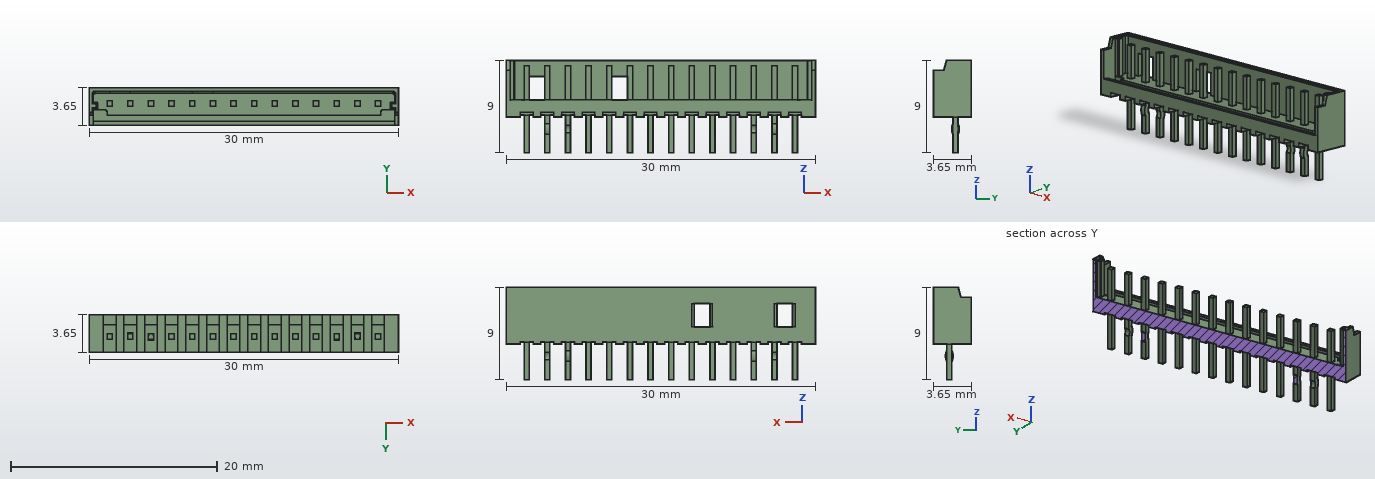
import cadquery as cq
import math


length = 30.0
width = 3.65
height = 5.52
back_y = 1.53
front_y = back_y - width
floor_z = 1.65
back_wall = 0.55
cheek_wall = 0.4
half_cavity = length / 2 - cheek_wall
corner_chamfer = 0.18
front_overshoot = 0.3
rim_bevel_drop = 0.1
rim_bevel_back = 0.18
rim_bevel_side = 0.1

step_drop = 1.0
step_top_y = back_y - 2.4
step_foot_y = back_y - 2.67

groove_depth = 0.45
lip_thickness = 0.42
groove_front_y = front_y + lip_thickness
groove_back_y = back_y - 2.7
end_pocket_back_y = back_y - 2.13
end_pocket_length = 1.35
end_pocket_chamfer = 0.18

rib_reach = 0.85
rib_back_y = back_y - 1.4
rib_front_y = back_y - 2.1
rib_chamfer = 0.1
rib_bevel = 0.15

pin_count = 14
pitch = length / (pin_count + 1)
pin_size = 0.5
pin_top_z = height - 0.55
pin_bottom_z = -3.48
pin_xs = [(i - (pin_count - 1) / 2) * pitch for i in range(pin_count)]

kink_z = -1.17
kink_offset = 0.12
kink_inner_radius = 0.63
kink_outer_radius = kink_inner_radius + pin_size
forward_kinks = (1, pin_count - 2)
backward_kinks = (2, pin_count - 3)

window_top_z = 3.9
window_first_pins = (0, 4)

relief_width = 1.23
channel_height = 0.18
mouth_height = 0.45
mouth_depth = 1.0


def block(x_range, y_range, z_range):
    """Axis-aligned box between the given limits."""
    sizes = [high - low for low, high in (x_range, y_range, z_range)]
    corner = (x_range[0], y_range[0], z_range[0])
    return cq.Workplane("XY").box(*sizes, centered=False).translate(corner)


def cavity_outline(side_growth, back_growth):
    """Points of the cavity, open past the front, with its back corners chamfered."""
    half = half_cavity + side_growth
    back = back_y - back_wall + back_growth
    open_y = front_y - front_overshoot
    return [
        (-half, open_y),
        (half, open_y),
        (half, back - corner_chamfer),
        (half - corner_chamfer, back),
        (-half + corner_chamfer, back),
        (-half, back - corner_chamfer),
    ]


def rib_outline(inset):
    """Points of the left rib, rooted inside the cheek; inset shrinks its free sides."""
    root_x = -length / 2 + cheek_wall / 2
    tip_x = -length / 2 + rib_reach - inset
    back = rib_back_y - inset
    front = rib_front_y + inset
    return [
        (root_x, front),
        (tip_x - rib_chamfer, front),
        (tip_x, front + rib_chamfer),
        (tip_x, back - rib_chamfer),
        (tip_x - rib_chamfer, back),
        (root_x, back),
    ]


def rim_loft(lower, upper):
    """Solid that changes from one outline to the other over the rim bevel."""
    return (
        cq.Workplane("XY", origin=(0, 0, height - rim_bevel_drop))
        .polyline(lower).close()
        .workplane(offset=rim_bevel_drop)
        .polyline(upper).close()
        .loft(ruled=True)
    )


def housing_blank():
    """Side profile with stepped cheeks, hollowed from the top and the front."""
    profile = [
        (back_y, 0),
        (back_y, height),
        (step_top_y, height),
        (step_foot_y, height - step_drop),
        (front_y, height - step_drop),
        (front_y, 0),
    ]
    body = cq.Workplane("YZ").polyline(profile).close().extrude(length / 2, both=True)
    cavity = (
        cq.Workplane("XY", origin=(0, 0, floor_z))
        .polyline(cavity_outline(0, 0)).close()
        .extrude(height - floor_z)
    )
    bevel = rim_loft(cavity_outline(0, 0), cavity_outline(rim_bevel_side, rim_bevel_back))
    return body.cut(cavity).cut(bevel)


def floor_groove():
    """Groove along the front lip with a wider pocket at each end."""
    inner_x = half_cavity - end_pocket_length
    outline = [
        (-half_cavity, groove_front_y),
        (half_cavity, groove_front_y),
        (half_cavity, end_pocket_back_y),
        (inner_x + end_pocket_chamfer, end_pocket_back_y),
        (inner_x, end_pocket_back_y - end_pocket_chamfer),
        (inner_x, groove_back_y),
        (-inner_x, groove_back_y),
        (-inner_x, end_pocket_back_y - end_pocket_chamfer),
        (-inner_x - end_pocket_chamfer, end_pocket_back_y),
        (-half_cavity, end_pocket_back_y),
    ]
    return (
        cq.Workplane("XY", origin=(0, 0, floor_z - groove_depth))
        .polyline(outline).close()
        .extrude(groove_depth)
    )


def key_rib():
    """Left key rib, bevelled at the top."""
    shaft = (
        cq.Workplane("XY", origin=(0, 0, floor_z))
        .polyline(rib_outline(0)).close()
        .extrude(height - rim_bevel_drop - floor_z)
    )
    return shaft.union(rim_loft(rib_outline(0), rib_outline(rib_bevel)))


def window(first_pin):
    """Opening through the back wall between a pin and its right neighbour."""
    x_range = (pin_xs[first_pin], pin_xs[first_pin + 1])
    return block(x_range, (back_y - back_wall, back_y), (floor_z, window_top_z))


def relief(x):
    """Relief in the underside below the pin at x."""
    x_range = (x - relief_width / 2, x + relief_width / 2)
    channel = block(x_range, (front_y, back_y), (0, channel_height))
    mouth = block(x_range, (front_y, front_y + mouth_depth), (0, mouth_height))
    return channel.union(mouth)


def straight_pin(x):
    """Square pin through the housing floor at x."""
    half = pin_size / 2
    return block((x - half, x + half), (-half, half), (pin_bottom_z, pin_top_z))


def kinked_pin(x, direction):
    """Pin with an arched kink that bulges toward +Y (direction 1) or -Y (direction -1)."""
    half = pin_size / 2
    inner_y = -half
    center_y = inner_y + kink_offset - kink_inner_radius
    inner_rise = math.sqrt(kink_inner_radius**2 - (inner_y - center_y) ** 2)
    outer_rise = math.sqrt(kink_outer_radius**2 - (half - center_y) ** 2)
    pin = (
        cq.Workplane("YZ", origin=(x, 0, 0))
        .moveTo(inner_y, pin_bottom_z)
        .lineTo(inner_y, kink_z - inner_rise)
        .threePointArc((inner_y + kink_offset, kink_z), (inner_y, kink_z + inner_rise))
        .lineTo(inner_y, pin_top_z)
        .lineTo(half, pin_top_z)
        .lineTo(half, kink_z + outer_rise)
        .threePointArc((half + kink_offset, kink_z), (half, kink_z - outer_rise))
        .lineTo(half, pin_bottom_z)
        .close()
        .extrude(half, both=True)
    )
    return pin if direction > 0 else pin.mirror("XZ")


result = housing_blank().cut(floor_groove())

left_rib = key_rib()
result = result.union(left_rib).union(left_rib.mirror("YZ"))

for first_pin in window_first_pins:
    result = result.cut(window(first_pin))

for x in pin_xs:
    result = result.cut(relief(x))

for i, x in enumerate(pin_xs):
    if i in forward_kinks:
        pin = kinked_pin(x, -1)
    elif i in backward_kinks:
        pin = kinked_pin(x, 1)
    else:
        pin = straight_pin(x)
    result = result.union(pin)